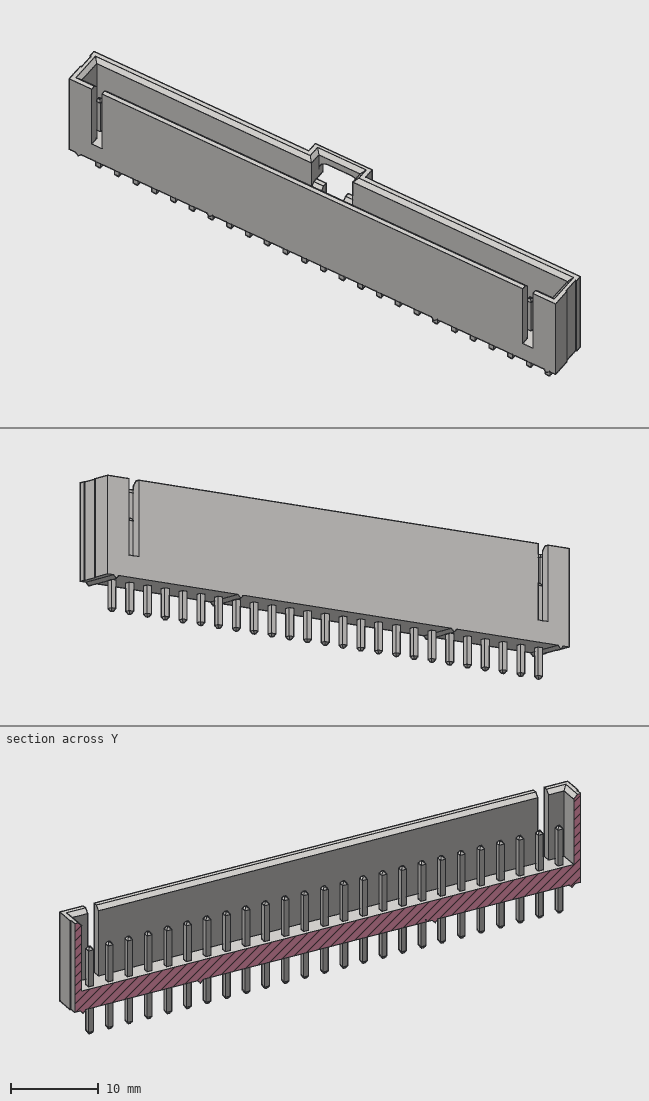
import cadquery as cq


length = 65.95
depth = 5.2
height = 11.5
rim = 0.56
lead_in = 0.5
wall = rim + lead_in
cavity_depth = 8.9
floor_z = height - cavity_depth

slot_width = 1.4
slot_from_end = 3.75

bridge_width = 7.7
bridge_reach = 1.4
bridge_height = 3.95
bridge_y = depth + bridge_reach
crossbar_rim = 0.4
crossbar_height = 1.45
arch_radius = 1.3
window_width = 3.0

groove_depth = 0.1
groove_width = 2.0
groove_from_back = 0.8

pin_count = 25
pitch = 2.54
pin_size = 0.65
pin_y = 2.5
pin_length_below = 3.6
pin_top_below_rim = 3.95
pin_taper = 0.3
pin_tip_size = 0.25

rib_height = 0.4
rib_pitches = (-12.5, -5.5, 6.5, 12.5)


def block(width, y_front, y_back, z_bottom, z_top, x_center=0.0):
    """Box centred on x_center, given by its Y and Z limits."""
    return (
        cq.Workplane("XY")
        .box(width, y_back - y_front, z_top - z_bottom, centered=(True, False, False))
        .translate((x_center, y_front, z_bottom))
    )


def lead_in_recess(width, y_front, y_back, z_top):
    """Flared recess that chamfers the mouth of a rectangular opening by the lead-in."""
    return (
        cq.Workplane("XY", origin=(0, (y_front + y_back) / 2, z_top))
        .rect(width + 2 * lead_in, y_back - y_front + 2 * lead_in)
        .workplane(offset=-lead_in)
        .rect(width, y_back - y_front)
        .loft(combine=True, ruled=True)
    )


def make_housing():
    shelf_z = height - bridge_height
    cavity_width = length - 2 * wall
    cavity_back = depth - wall
    pocket_width = bridge_width - 2 * wall
    pocket_back = bridge_y - crossbar_rim - lead_in

    body = block(length, 0, depth, 0, height)
    body = body.union(block(bridge_width, depth, bridge_y, shelf_z, height))

    body = body.cut(block(cavity_width, wall, cavity_back, floor_z, height))
    body = body.cut(lead_in_recess(cavity_width, wall, cavity_back, height))
    body = body.cut(block(pocket_width, wall, pocket_back, shelf_z, height))
    body = body.cut(lead_in_recess(pocket_width, wall + lead_in, pocket_back, height))

    shelf_chamfer = (
        cq.Workplane("YZ")
        .polyline([
            (cavity_back, shelf_z),
            (cavity_back + lead_in, shelf_z),
            (cavity_back, shelf_z - lead_in),
        ])
        .close()
        .extrude(pocket_width / 2, both=True)
    )
    body = body.cut(shelf_chamfer)

    body = body.cut(block(window_width, cavity_back, depth, floor_z, shelf_z))

    arch_top = height - crossbar_height
    opening = block(pocket_width, pocket_back, bridge_y, shelf_z, arch_top)
    opening = opening.edges("|Y and >Z").fillet(arch_radius)
    body = body.cut(opening)

    for side in (-1, 1):
        slot_x = side * (length / 2 - slot_from_end)
        body = body.cut(block(slot_width, 0, wall, floor_z, height, slot_x))

        groove_back = depth - groove_from_back
        groove_x = side * (length - groove_depth) / 2
        body = body.cut(block(groove_depth, groove_back - groove_width, groove_back, 0, height, groove_x))
    return body


def make_rib(x):
    """V-shaped rib across the full depth of the underside."""
    return (
        cq.Workplane("XZ")
        .polyline([(x - rib_height, 0), (x, -rib_height), (x + rib_height, 0)])
        .close()
        .extrude(-depth)
    )


def make_pin(x):
    """Square pin tapered at both ends."""
    shank_bottom = pin_taper - pin_length_below
    shank_top = height - pin_top_below_rim - pin_taper
    pin = block(pin_size, pin_y - pin_size / 2, pin_y + pin_size / 2, shank_bottom, shank_top)
    for z, direction in ((shank_bottom, -1), (shank_top, 1)):
        tip = (
            cq.Workplane("XY", origin=(0, pin_y, z))
            .rect(pin_size, pin_size)
            .workplane(offset=direction * pin_taper)
            .rect(pin_tip_size, pin_tip_size)
            .loft(combine=True, ruled=True)
        )
        pin = pin.union(tip)
    return pin.translate((x, 0, 0))


result = make_housing()
for rib_position in rib_pitches:
    result = result.union(make_rib(rib_position * pitch))
for pin_index in range(pin_count):
    result = result.union(make_pin((pin_index - (pin_count - 1) / 2) * pitch))